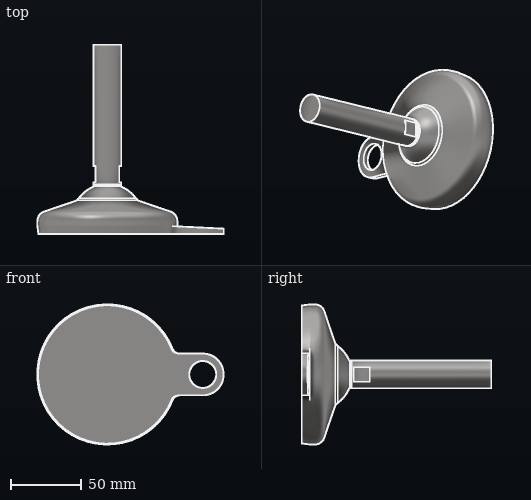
import cadquery as cq
import math


base_radius = 100.0 / 2
sole_radius = 98.5 / 2
band_bottom = 6.1
band_top = 9.2
shoulder_radius = 7.4
cone_angle = math.radians(19)
cone_top = 24.0
cone_top_radius = 22.0
seat_height = 25.6
seat_radius = 20.4

lug_root = 44.5
overall_width = 133.0
lug_width = 30.0
lug_hole_diameter = 19.0
lug_root_height = 6.0
lug_tip_height = 4.0
lug_fillet = 5.0
lug_tip = overall_width - base_radius
lug_end_center = lug_tip - lug_width / 2

spindle_top = 135.0
shaft_radius = 20.0 / 2
shaft_bottom = 35.5
groove_radius = 9.5
groove_width = 0.5
collar_bottom = 34.4
dome_top_radius = 9.7
dome_sphere_radius = 25.2
flat_bottom = 37.1
flat_top = 48.5
across_flats = 17.1


def revolve_about_y(profile):
    return profile.close().revolve(360, (0, 0, 0), (0, 1, 0))


def make_base_body():
    """Revolved base: tapered rim, straight band, rounded shoulder, cone and dome seat."""
    shoulder_center = base_radius - shoulder_radius
    mid_angle = (math.pi / 2 - cone_angle) / 2
    shoulder_mid = (
        shoulder_center + shoulder_radius * math.cos(mid_angle),
        band_top + shoulder_radius * math.sin(mid_angle),
    )
    shoulder_end = (
        shoulder_center + shoulder_radius * math.sin(cone_angle),
        band_top + shoulder_radius * math.cos(cone_angle),
    )
    return revolve_about_y(
        cq.Workplane("XY")
        .lineTo(sole_radius, 0)
        .lineTo(base_radius, band_bottom)
        .lineTo(base_radius, band_top)
        .threePointArc(shoulder_mid, shoulder_end)
        .lineTo(cone_top_radius, cone_top)
        .lineTo(seat_radius, seat_height)
        .lineTo(0, seat_height)
    )


def make_lug():
    """Round-ended lug whose top slopes down from the rim to its tip."""
    side_profile = (
        cq.Workplane("XY")
        .lineTo(lug_tip, 0)
        .lineTo(lug_tip, lug_tip_height)
        .lineTo(lug_root, lug_root_height)
        .lineTo(0, lug_root_height)
        .close()
        .extrude(lug_width / 2, both=True)
    )
    outline = (
        cq.Workplane("XZ")
        .moveTo(0, -lug_width / 2)
        .lineTo(lug_end_center, -lug_width / 2)
        .threePointArc((lug_tip, 0), (lug_end_center, lug_width / 2))
        .lineTo(0, lug_width / 2)
        .close()
        .extrude(-band_bottom)
    )
    return side_profile.intersect(outline)


def make_base():
    base = make_base_body().union(make_lug())

    corner_x = math.sqrt(base_radius**2 - (lug_width / 2) ** 2)
    for side in (-1, 1):
        corner = (corner_x, lug_root_height / 2, side * lug_width / 2)
        base = base.edges(cq.NearestToPointSelector(corner)).fillet(lug_fillet)

    hole = (
        cq.Workplane("XZ")
        .center(lug_end_center, 0)
        .circle(lug_hole_diameter / 2)
        .extrude(-band_bottom)
    )
    return base.cut(hole)


def make_spindle_body():
    """Revolved spindle: spherical dome, collar, narrow groove and plain shaft."""
    sphere_center = seat_height - math.sqrt(dome_sphere_radius**2 - seat_radius**2)
    mid_radius = (seat_radius + dome_top_radius) / 2
    mid_height = sphere_center + math.sqrt(dome_sphere_radius**2 - mid_radius**2)
    dome_end = sphere_center + math.sqrt(dome_sphere_radius**2 - dome_top_radius**2)
    groove_bottom = shaft_bottom - groove_width
    return revolve_about_y(
        cq.Workplane("XY")
        .moveTo(0, seat_height)
        .lineTo(seat_radius, seat_height)
        .threePointArc((mid_radius, mid_height), (dome_top_radius, dome_end))
        .lineTo(dome_top_radius, collar_bottom)
        .lineTo(shaft_radius, groove_bottom)
        .lineTo(groove_radius, groove_bottom)
        .lineTo(groove_radius, shaft_bottom)
        .lineTo(shaft_radius, shaft_bottom)
        .lineTo(shaft_radius, spindle_top)
        .lineTo(0, spindle_top)
    )


def make_spindle():
    spindle = make_spindle_body()

    for side in (-1, 1):
        flat_cutter = cq.Workplane("XY").box(
            shaft_radius, flat_top - flat_bottom, 2 * shaft_radius
        )
        cutter_x = side * (across_flats + shaft_radius) / 2
        cutter_y = (flat_bottom + flat_top) / 2
        spindle = spindle.cut(flat_cutter.translate((cutter_x, cutter_y, 0)))
    return spindle


base = make_base()
spindle = make_spindle()

result = cq.Compound.makeCompound([base.val(), spindle.val()])